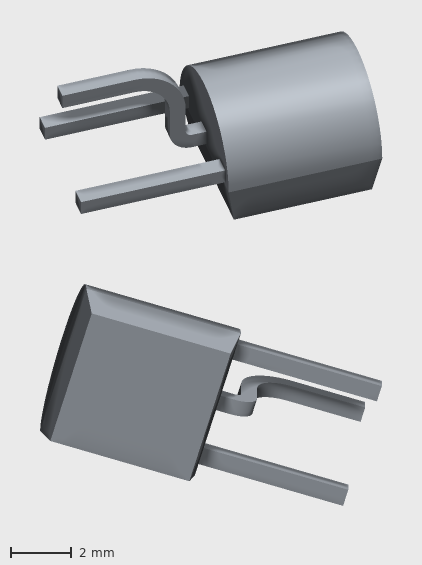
import cadquery as cq
import math


package_width = 5.2
lead_length = 5.0
package_length = 10.33 - lead_length
base_height = 1.52
base_draft = 10

left_lead_width = 0.56
left_lead_center_x = -1.87
left_lead_bottom = 0.15
right_lead_width = 0.59
right_lead_center_x = 1.92
right_lead_bottom = 0.12
straight_lead_height = 0.53

middle_lead_width = 0.53
middle_lead_center_x = -0.015
middle_lead_bottom = 0.13
middle_lead_top = 3.69
strip_thickness = 0.55
riser_distance = 0.72
lower_inner_radius = 0.23
upper_inner_radius = 1.22


def make_package():
    radius = package_width / 2
    dome = (
        cq.Workplane("XZ")
        .moveTo(-radius, 0)
        .threePointArc((0, radius), (radius, 0))
        .close()
        .extrude(-package_length)
    )
    inset = base_height * math.tan(math.radians(base_draft))
    base = (
        cq.Workplane("XY")
        .center(0, package_length / 2)
        .rect(package_width, package_length)
        .workplane(offset=-base_height)
        .rect(package_width - 2 * inset, package_length - 2 * inset)
        .loft(ruled=True)
    )
    return dome.union(base)


def make_straight_lead(center_x, width, bottom):
    return (
        cq.Workplane("XY")
        .box(width, lead_length, straight_lead_height, centered=(True, False, False))
        .translate((center_x, -lead_length, bottom))
    )


def make_middle_lead():
    lower_outer_radius = lower_inner_radius + strip_thickness
    upper_outer_radius = upper_inner_radius + strip_thickness
    riser_back = -riser_distance
    riser_front = riser_back - strip_thickness
    lower_center_y = riser_back + lower_inner_radius
    lower_center_z = middle_lead_bottom + lower_outer_radius
    upper_center_y = riser_back - upper_outer_radius
    upper_center_z = middle_lead_top - upper_outer_radius
    diagonal = math.sqrt(0.5)

    def lower_bend_middle(radius):
        return (lower_center_y - radius * diagonal, lower_center_z - radius * diagonal)

    def upper_bend_middle(radius):
        return (upper_center_y + radius * diagonal, upper_center_z + radius * diagonal)

    return (
        cq.Workplane("YZ")
        .moveTo(0, middle_lead_bottom)
        .lineTo(lower_center_y, middle_lead_bottom)
        .threePointArc(lower_bend_middle(lower_outer_radius), (riser_front, lower_center_z))
        .lineTo(riser_front, upper_center_z)
        .threePointArc(
            upper_bend_middle(upper_inner_radius),
            (upper_center_y, middle_lead_top - strip_thickness),
        )
        .lineTo(-lead_length, middle_lead_top - strip_thickness)
        .lineTo(-lead_length, middle_lead_top)
        .lineTo(upper_center_y, middle_lead_top)
        .threePointArc(upper_bend_middle(upper_outer_radius), (riser_back, upper_center_z))
        .lineTo(riser_back, lower_center_z)
        .threePointArc(
            lower_bend_middle(lower_inner_radius),
            (lower_center_y, middle_lead_bottom + strip_thickness),
        )
        .lineTo(0, middle_lead_bottom + strip_thickness)
        .close()
        .extrude(middle_lead_width / 2, both=True)
        .translate((middle_lead_center_x, 0, 0))
    )


package = make_package()
middle_lead = make_middle_lead()
straight_leads = [
    make_straight_lead(center_x, width, bottom)
    for center_x, width, bottom in (
        (left_lead_center_x, left_lead_width, left_lead_bottom),
        (right_lead_center_x, right_lead_width, right_lead_bottom),
    )
]

result = cq.Compound.makeCompound(
    [package.val(), middle_lead.val(), *[lead.val() for lead in straight_leads]]
)